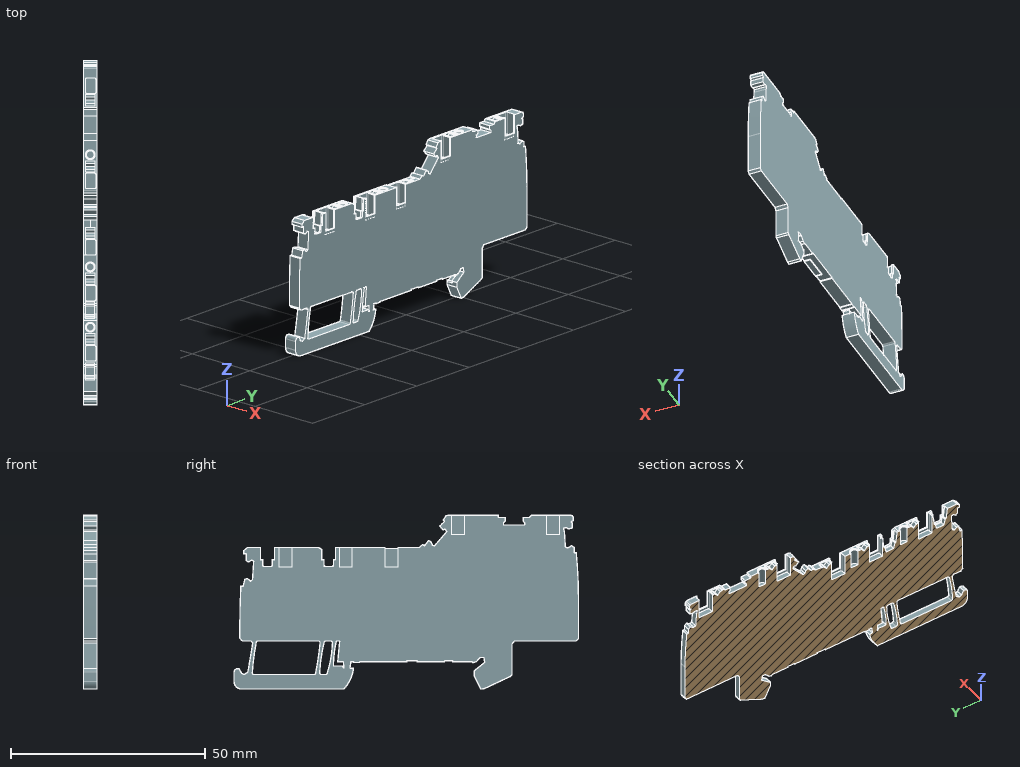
import cadquery as cq

WIDTH = 3.5
LENGTH = 88.74
HEIGHT = 44.85

LOWER_TOP = 36.5
BODY_BOTTOM = 12.4
RAIL_SEAT = 7.05
FOOT_FLOOR = 3.8
MID_X = WIDTH / 2

FOOT_CORNER = 2.0
FOOT_TIP_ROUND = 0.9
FOOT_TIP_HEIGHT = 5.3
FOOT_TOE = 57.9
FOOT_TOE_HEIGHT = 5.4
LEG_CORNER = 0.4

SPRING_START, SPRING_END = 1.6, 4.5
ENTRY_START, ENTRY_END = 4.75, 8.75
POCKET_LEFT = 0.5
SPRING_RIGHT = 3.0
ENTRY_RIGHT = 3.2
ENTRY_DEPTH = 6.0
ENTRY_SIDE_DEPTH = 5.0
ENTRY_CORNER = 0.35
SPRING_DEPTH = 0.3
GROOVE_WIDTH = 1.6
GROOVE_DEPTH = 0.9
SCREW_DIAMETER = 2.0
SCREW_DEPTH = 5.0
SCREW_RIM_DIAMETER = 2.5
SCREW_RIM_DEPTH = 0.3

TERMINALS = [
    (13.3, -1, HEIGHT, False),
    (24.3, 1, HEIGHT, True),
    (41.4, 1, LOWER_TOP, False),
    (53.2, 1, LOWER_TOP, True),
    (68.7, 1, LOWER_TOP, True),
]

BRIDGE_SLOTS = (64.35, 80.1)
SLOT_HALF_WIDTH = 1.75
SLOT_LOWER_HALF_WIDTH = 1.2
SLOT_STEP = 33.4
SLOT_FLOOR = 31.65
SLOT_CORNER = 0.35
SLOT_LEAD_IN_LENGTH = 0.85
SLOT_LEAD_IN_DEPTH = 0.5
WELL_HALF_WIDTH = 2.2
WELL_STEP_HALF_WIDTH = 1.5
WELL_TAPER = 0.4
WELL_RIGHT = 2.9
WELL_DEEPENING = 0.3

TOP_RELIEF = (41.05, 50.1)
TOP_RELIEF_DEPTH = 0.2

SEAT_RELIEF = (32.4, 44.2)
SEAT_PAD = (34.5, 41.6)
SEAT_RELIEF_DEPTH = 0.25

SIDE = cq.Plane(origin=(0, LENGTH, 0), xDir=(0, -1, 0), normal=(-1, 0, 0))


def side_sketch(x=0.0):
    """Workplane on the side profile, moved to the given X."""
    return cq.Workplane(SIDE).workplane(offset=-x)


def plate(points, x_start=0.0, x_end=WIDTH):
    """Prism over a polygon of the side profile, between two X positions."""
    return side_sketch(x_start).polyline(points).close().extrude(x_start - x_end)


def block(along, heights, x_start=0.0, x_end=WIDTH):
    """Box given by its ranges along the length, in height and in X."""
    start, end = along
    low, high = heights
    return plate([(start, low), (end, low), (end, high), (start, high)], x_start, x_end)


def make_body():
    """Housing with its marker grooves and snap hook, without the foot."""
    upper_top = [
        (1.35, 44.3), (1.6, 44.7), (2.1, HEIGHT), (12.15, HEIGHT), (12.7, 44.25),
        (14.3, 44.25), (14.3, 43.3), (13.9, 42.9), (13.9, 42.3),
        (19.3, 42.3), (19.3, 42.9), (18.85, 43.3), (18.85, 44.25),
        (20.65, 44.25), (20.65, HEIGHT), (33.5, HEIGHT), (34.2, 44.65),
    ]
    sloping_marker_groove = [
        (34.85, 43.55), (34.5, 43.25), (35.75, 42.0), (34.85, 40.95),
        (34.4, 41.25), (33.95, 40.6), (37.1, 36.95), (37.6, 37.1),
        (37.9, 37.85), (38.6, 38.35), (39.65, 37.0), (40.2, 37.25), (41.05, LOWER_TOP),
    ]
    front_marker_groove = [
        (85.3, LOWER_TOP), (86.25, 35.7), (86.25, 34.85), (85.6, 34.85),
        (85.6, 33.1), (85.0, 32.7), (84.2, 33.25), (83.7, 33.0), (84.0, 28.2),
        (84.5, 27.85), (85.2, 28.5), (85.95, 28.4), (86.4, 26.55), (87.0, 26.55),
    ]
    front_end = [(87.25, 13.1), (86.6, BODY_BOTTOM), (61.55, BODY_BOTTOM)]
    hook = [
        (62.05, RAIL_SEAT), (57.9, RAIL_SEAT), (57.9, 6.85), (56.4, 6.85),
        (56.4, RAIL_SEAT), (27.4, RAIL_SEAT), (27.2, 6.8), (26.35, 7.05), (25.3, 8.15),
        (24.4, 8.15), (24.2, 6.9), (26.9, 4.75), (26.9, 3.45), (25.2, 0.0), (24.3, 0.1),
        (17.5, 3.3), (17.1, 3.7), (17.1, 11.65), (16.5, BODY_BOTTOM),
    ]
    rear_end = [(0.6, BODY_BOTTOM), (0.0, 13.05), (0.0, 24.0)]
    rear_marker_groove = [
        (1.1, 35.15), (1.1, 36.5), (1.75, 37.0), (2.75, 36.4), (3.35, 36.6),
        (3.6, 40.5), (3.85, 41.5), (3.1, 41.55), (2.6, 41.25), (1.6, 41.5),
        (1.6, 42.8), (1.95, 43.1), (1.35, 43.4),
    ]
    outline = side_sketch().moveTo(*upper_top[0])
    for point in upper_top[1:] + sloping_marker_groove + front_marker_groove:
        outline = outline.lineTo(*point)
    outline = outline.threePointArc((87.2, 21.0), front_end[0])
    for point in front_end[1:] + hook + rear_end:
        outline = outline.lineTo(*point)
    outline = outline.threePointArc((0.14, 29.5), (0.55, 35.15))
    for point in rear_marker_groove:
        outline = outline.lineTo(*point)
    return outline.close().extrude(-WIDTH)


def make_foot():
    """Snap foot hanging from three slanted legs below the housing."""
    foot = (
        side_sketch()
        .moveTo(FOOT_TOE, FOOT_TOE_HEIGHT)
        .threePointArc((58.75, 2.5), (60.45, 0.0))
        .lineTo(LENGTH - FOOT_CORNER, 0.0)
        .radiusArc((LENGTH, FOOT_CORNER), -FOOT_CORNER)
        .lineTo(LENGTH, FOOT_TIP_HEIGHT - FOOT_TIP_ROUND)
        .radiusArc((LENGTH - FOOT_TIP_ROUND, FOOT_TIP_HEIGHT), -FOOT_TIP_ROUND)
        .lineTo(87.4, FOOT_TIP_HEIGHT)
        .lineTo(86.75, 4.1)
        .lineTo(86.1, FOOT_FLOOR)
        .lineTo(85.2, 4.4)
        .threePointArc((84.55, 8.2), (83.95, 11.9))
        .lineTo(84.35, BODY_BOTTOM)
        .lineTo(62.35, BODY_BOTTOM)
        .threePointArc((62.9, 9.2), (63.1, 6.0))
        .lineTo(60.75, 6.0)
        .lineTo(60.45, FOOT_TOE_HEIGHT)
        .close()
        .extrude(-WIDTH)
    )
    narrow_window = (
        side_sketch()
        .moveTo(63.4, BODY_BOTTOM)
        .lineTo(65.4, BODY_BOTTOM)
        .threePointArc((66.25, 8.2), (66.65, FOOT_FLOOR))
        .lineTo(64.85, FOOT_FLOOR)
        .threePointArc((63.8, 8.0), (63.4, BODY_BOTTOM))
        .close()
        .extrude(-WIDTH)
    )
    wide_window = (
        side_sketch()
        .moveTo(66.55, BODY_BOTTOM)
        .lineTo(82.9, BODY_BOTTOM)
        .threePointArc((83.6, 8.2), (84.0, FOOT_FLOOR))
        .lineTo(67.8, FOOT_FLOOR)
        .threePointArc((67.05, 8.2), (66.55, BODY_BOTTOM))
        .close()
        .extrude(-WIDTH)
    )
    for window in (narrow_window, wide_window):
        foot = foot.cut(window.edges("|X").fillet(LEG_CORNER))
    stop_tab = plate([(58.6, RAIL_SEAT), (60.6, RAIL_SEAT), (60.4, 5.0), (58.9, 5.0)], MID_X)
    return foot.union(stop_tab)


def make_hook_undercut():
    """Deepening of the hook throat, on the -X half only."""
    throat = [(23.6, 8.2), (25.0, 8.2), (25.0, 6.9), (26.9, 4.75), (26.8, 4.2), (25.0, 5.4), (23.6, 5.4)]
    return plate(throat, 0.0, MID_X)


def make_bridge_slot(center):
    """Stepped slot through the full width with a deeper tapered well between its side walls."""
    slot = block(
        (center - SLOT_HALF_WIDTH, center + SLOT_HALF_WIDTH), (SLOT_STEP, LOWER_TOP)
    )
    lower = block(
        (center - SLOT_LOWER_HALF_WIDTH, center + SLOT_LOWER_HALF_WIDTH), (SLOT_FLOOR, SLOT_STEP)
    )
    lower = lower.faces("<Z").edges("|X").fillet(SLOT_CORNER)
    step = SLOT_STEP - WELL_DEEPENING
    floor = SLOT_FLOOR - WELL_DEEPENING
    half_outline = [
        (WELL_HALF_WIDTH, LOWER_TOP),
        (WELL_HALF_WIDTH - WELL_TAPER, step),
        (WELL_STEP_HALF_WIDTH, step),
        (WELL_STEP_HALF_WIDTH - WELL_TAPER, floor),
    ]
    well_points = [(center + offset, height) for offset, height in half_outline]
    well_points += [(center - offset, height) for offset, height in reversed(half_outline)]
    well = plate(well_points, POCKET_LEFT, WELL_RIGHT)
    return slot.union(lower).union(well)


def make_slot_lead_in(center):
    """Sloped edge on the -Y side of a bridge slot."""
    edge = center + SLOT_HALF_WIDTH
    slope = [
        (edge, LOWER_TOP),
        (edge + SLOT_LEAD_IN_LENGTH, LOWER_TOP),
        (edge, LOWER_TOP - SLOT_LEAD_IN_DEPTH),
    ]
    return plate(slope)


def make_wire_entry(along, top):
    """Deep wire pocket, open to +X above a low ledge."""
    pocket = block(along, (top - ENTRY_DEPTH, top), POCKET_LEFT, ENTRY_RIGHT)
    pocket = pocket.edges("|Z").fillet(ENTRY_CORNER)
    start, end = along
    window_span = (start + ENTRY_CORNER, end - ENTRY_CORNER)
    side_window = block(window_span, (top - ENTRY_SIDE_DEPTH, top), ENTRY_RIGHT - ENTRY_CORNER, WIDTH)
    return pocket.union(side_window)


def make_spring_recess(along, top):
    """Shallow rectangular recess with a V groove across its floor."""
    floor = top - SPRING_DEPTH
    recess = block(along, (floor, top), POCKET_LEFT, SPRING_RIGHT)
    center = sum(along) / 2
    groove_points = [
        (center - GROOVE_WIDTH / 2, floor),
        (center + GROOVE_WIDTH / 2, floor),
        (center, floor - GROOVE_DEPTH),
    ]
    return recess.union(plate(groove_points, POCKET_LEFT, SPRING_RIGHT))


def make_screw_hole(position, top):
    """Vertical screw hole with a shallow wider rim."""
    mouth = cq.Workplane("XY", origin=(MID_X, LENGTH - position, top))
    hole = mouth.circle(SCREW_DIAMETER / 2).extrude(-SCREW_DEPTH)
    rim = mouth.circle(SCREW_RIM_DIAMETER / 2).extrude(-SCREW_RIM_DEPTH)
    return hole.union(rim)


def make_terminal(position, direction, top, has_screw_hole):
    """All openings of one terminal in the top face."""
    spring = sorted(position + direction * offset for offset in (SPRING_START, SPRING_END))
    entry = sorted(position + direction * offset for offset in (ENTRY_START, ENTRY_END))
    openings = make_wire_entry(entry, top).union(make_spring_recess(spring, top))
    if has_screw_hole:
        openings = openings.union(make_screw_hole(position, top))
    return openings


result = make_body().union(make_foot())
result = result.cut(make_hook_undercut())
result = result.cut(block(TOP_RELIEF, (LOWER_TOP - TOP_RELIEF_DEPTH, LOWER_TOP), 0.0, MID_X))
seat_levels = (RAIL_SEAT, RAIL_SEAT + SEAT_RELIEF_DEPTH)
result = result.cut(block(SEAT_RELIEF, seat_levels))
result = result.union(block(SEAT_PAD, seat_levels, MID_X, WIDTH))
for slot_center in BRIDGE_SLOTS:
    result = result.cut(make_bridge_slot(slot_center))
result = result.cut(make_slot_lead_in(BRIDGE_SLOTS[0]))
for terminal in TERMINALS:
    result = result.cut(make_terminal(*terminal))